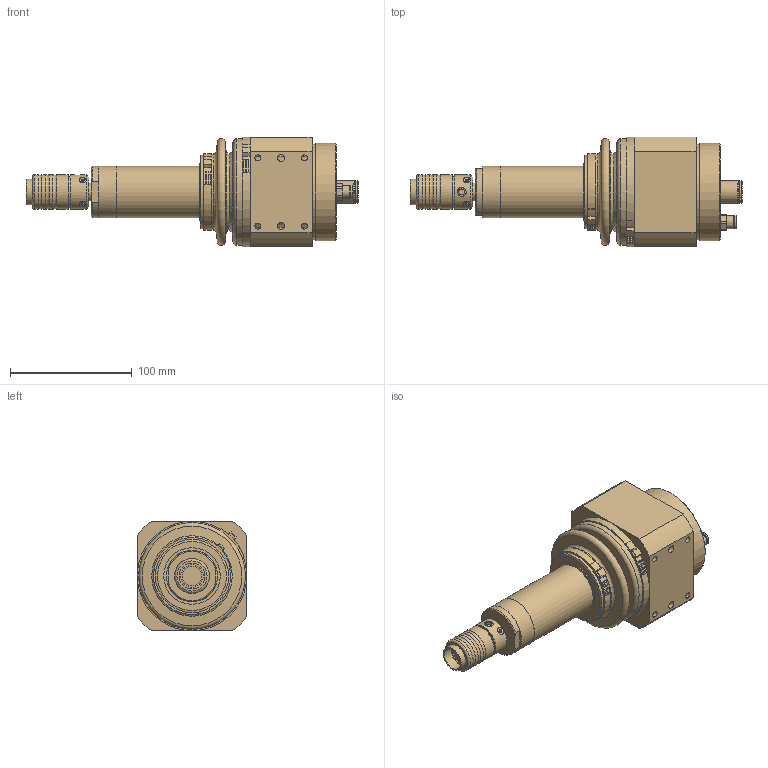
import math

import cadquery as cq


TIP_TO_SLEEVE = 5.3
SLEEVE_END = 51.3
COLLAR_START = 53.5
COLLAR_END = 59.3
SEAM = 74.2
LIP_START = 142.5
BAND_WIDTH = 6.5
SMALL_BAND_START = 145.8
SMALL_BAND_END = SMALL_BAND_START + BAND_WIDTH
LARGE_BAND_START = 177.5
BLOCK_START = LARGE_BAND_START + BAND_WIDTH
BLOCK_END = 234.7
DRUM_START = 237.8
DRUM_END = 254.4
OVERALL_LENGTH = 272.4

TIP_RADIUS = 10.5
BORE_RADIUS = 18.5 / 2
BORE_STEP_RADIUS = 8.0
SLEEVE_RADIUS = 28.4 / 2
SLEEVE_NECK_RADIUS = 24.7 / 2
STEM_RADIUS = 7.1
TUBE_RADIUS = 21.0
FRONT_SLEEVE_RADIUS = 21.05
SMALL_BAND_RADIUS = 31.6
LARGE_BAND_RADIUS = 44.9
DRUM_RADIUS = 40.0
DRUM_SPIGOT_RADIUS = 39.2

BORE_DEPTH = 8.0
BORE_STEP_DEPTH = 0.8
NOSE_FILLET = SLEEVE_RADIUS - SLEEVE_NECK_RADIUS
SLEEVE_CHAMFER = 2.0
GRIP_GROOVE_START = 10.1
GRIP_GROOVE_WIDTH = 3.0
GRIP_GROOVE_PITCH = 6.0
GRIP_GROOVE_DEPTH = 0.5
GRIP_GROOVE_COUNT = 3
SLEEVE_SPLIT_START = 34.5
SLEEVE_SPLIT_END = 36.4
TOP_SCREW_X = 42.5
TOP_SCREW_DIAMETER = 7.2
TOP_SOCKET_DIAMETER = 4.92
SIDE_SCREW_X = 46.6
SIDE_SCREW_DIAMETER = 6.0
SIDE_SOCKET_DIAMETER = 2.5
SCREW_SEAT_DEPTH = 0.8
SCREW_SOCKET_DEPTH = 2.5
SIDE_SCREW_ANGLES = (45, 135, 225, 315)

COLLAR_CHAMFER = 0.8
COLLAR_FLAT_WIDTH = 38.5

BELLOWS_RADIUS = 43.8
BELLOWS_ROOT_RADIUS = 31.2
CONVOLUTION_X = 160.2
CREST_HALF_WIDTH = 3.3
CREST_HEIGHT = 2.9
WALL_FOOT_HALF_WIDTH = 4.0
WALL_FOOT_RADIUS = 33.0
ROOT_START = 153.6
ROOT_FILLET = 2.8
SECOND_CREST_X = 173.1
LIP_RADIUS = 30.0
LIP_FACE_RADIUS = 28.3
LIP_BORE_RADIUS = 23.2
LIP_EDGE_LENGTH = 0.9

STRAP_THICKNESS = 0.6
STRAP_LEAD = 10.5
STRAP_TAIL = 18.8
EAR_ANGLE = 45
EAR_BASE = 8.4
EAR_TOP = 5.8
EAR_HEIGHT = 3.3
EAR_WALL = 0.8
EAR_SINK = 1.0
WINDOW_LENGTH = 1.6
WINDOW_WIDTH = 1.5
WINDOW_DEPTH = 0.5
WINDOW_COLUMN_OFFSET = 1.3
WINDOW_FIRST = 7.9
WINDOW_PITCH = 3.05
WINDOW_ROWS = 4

BLOCK_SIZE = 90.0
BLOCK_CORNER_RADIUS = 56.0
HOLE_PITCH_X = 19.1
HOLE_HALF_SPACING_Z = 28.0
END_HOLE_DIAMETER = 4.92
MIDDLE_HOLE_DIAMETER = 6.0
CORE_RADIUS = 28.9
DRUM_CHAMFER = 0.8

CONNECTOR_RADIUS = 9.4
KNOB_GROOVE_START = 268.9
KNOB_GROOVE_END = 269.7
KNOB_GROOVE_RADIUS = 18.5 / 2
KNURL_START = 270.2
KNURL_LENGTH = 1.6
KNURL_DEPTH = 0.3
KNURL_WIDTH = 0.8
KNURL_COUNT = 36
CONNECTOR_CHAMFER = 0.4

SIDE_CONNECTOR_Y = -24.9
NUT_ACROSS_FLATS = 13.2
NUT_EDGE_TRIM = 14.3
NUT_LENGTH = 5.1
HEX_SIDES = 6
HEX_HALF_STEP = 180 / HEX_SIDES
PLUG_RADIUS = 10.6 / 2
PLUG_GROOVE_RADIUS = 9.9 / 2
PLUG_END = 267.6
PLUG_GROOVE_START = 265.4
PLUG_GROOVE_WIDTH = 0.9


def cylinder(start, end, radius, y=0.0):
    """Solid cylinder parallel to X between two stations."""
    return cq.Workplane("YZ", origin=(start, y, 0)).circle(radius).extrude(end - start)


def ring(start, end, outer_radius, inner_radius, y=0.0):
    """Hollow cylinder parallel to X, used to cut grooves."""
    return cylinder(start, end, outer_radius, y).cut(cylinder(start, end, inner_radius, y))


def turned(outline):
    """Revolve a closed outline, drawn as (x, radius), about the X axis."""
    return outline.close().revolve(360, (0, 0, 0), (1, 0, 0))


def radial_cutter(x, angle, cutter_radius, surface_radius, depth):
    """Round cutter along a radius, reaching depth below the surface; 90 degrees points to +Z."""
    direction = cq.Vector(0, math.cos(math.radians(angle)), math.sin(math.radians(angle)))
    base = direction * (surface_radius - depth) + cq.Vector(x, 0, 0)
    return cq.Workplane(cq.Solid.makeCylinder(cutter_radius, 2 * depth, base, direction))


def nozzle():
    outline = (
        cq.Workplane("XY")
        .moveTo(0, 0)
        .lineTo(0, TIP_RADIUS)
        .lineTo(TIP_TO_SLEEVE, TIP_RADIUS)
        .lineTo(TIP_TO_SLEEVE, SLEEVE_NECK_RADIUS)
        .radiusArc(
            (TIP_TO_SLEEVE + NOSE_FILLET, SLEEVE_RADIUS),
            NOSE_FILLET,
        )
    )
    for index in range(GRIP_GROOVE_COUNT):
        start = GRIP_GROOVE_START + index * GRIP_GROOVE_PITCH
        outline = outline.lineTo(start, SLEEVE_RADIUS).threePointArc(
            (start + GRIP_GROOVE_WIDTH / 2, SLEEVE_RADIUS - GRIP_GROOVE_DEPTH),
            (start + GRIP_GROOVE_WIDTH, SLEEVE_RADIUS),
        )
    outline = (
        outline.lineTo(SLEEVE_SPLIT_START, SLEEVE_RADIUS)
        .lineTo(SLEEVE_SPLIT_START, SLEEVE_NECK_RADIUS)
        .lineTo(SLEEVE_SPLIT_END, SLEEVE_NECK_RADIUS)
        .lineTo(SLEEVE_SPLIT_END, SLEEVE_RADIUS)
        .lineTo(SLEEVE_END - SLEEVE_CHAMFER, SLEEVE_RADIUS)
        .lineTo(SLEEVE_END, SLEEVE_RADIUS - SLEEVE_CHAMFER)
        .lineTo(SLEEVE_END, STEM_RADIUS)
        .lineTo(COLLAR_START, STEM_RADIUS)
        .lineTo(COLLAR_START, 0)
    )
    body = turned(outline)
    body = body.cut(cylinder(0, BORE_DEPTH, BORE_RADIUS))
    body = body.cut(cylinder(0, BORE_DEPTH + BORE_STEP_DEPTH, BORE_STEP_RADIUS))
    body = cut_screw(body, TOP_SCREW_X, 90, TOP_SCREW_DIAMETER, TOP_SOCKET_DIAMETER)
    for angle in SIDE_SCREW_ANGLES:
        body = cut_screw(body, SIDE_SCREW_X, angle, SIDE_SCREW_DIAMETER, SIDE_SOCKET_DIAMETER)
    return body


def cut_screw(body, x, angle, seat_diameter, socket_diameter):
    """Screw seat with a narrower socket, sunk radially into the sleeve."""
    seat = radial_cutter(x, angle, seat_diameter / 2, SLEEVE_RADIUS, SCREW_SEAT_DEPTH)
    socket = radial_cutter(x, angle, socket_diameter / 2, SLEEVE_RADIUS, SCREW_SOCKET_DEPTH)
    return body.cut(seat).cut(socket)


def tube():
    collar = cylinder(COLLAR_START, COLLAR_END, TUBE_RADIUS).faces("<X").chamfer(COLLAR_CHAMFER)
    flats = cq.Workplane("XY").box(2 * COLLAR_END, COLLAR_FLAT_WIDTH, 2 * TUBE_RADIUS)
    front = cylinder(COLLAR_END, SEAM, FRONT_SLEEVE_RADIUS)
    rear = cylinder(SEAM, SMALL_BAND_START, TUBE_RADIUS)
    return collar.intersect(flats).union(front).union(rear)


def bellows():
    """Lip, clamped seat, one full convolution and the flank that meets the large band."""
    crest_radius = BELLOWS_RADIUS - CREST_HEIGHT
    lip_face_x = LIP_START + LIP_EDGE_LENGTH / 2
    outline = (
        cq.Workplane("XY")
        .moveTo(LIP_START, 0)
        .lineTo(LIP_START, LIP_BORE_RADIUS)
        .lineTo(lip_face_x, LIP_BORE_RADIUS)
        .lineTo(lip_face_x, LIP_FACE_RADIUS)
        .lineTo(LIP_START + LIP_EDGE_LENGTH, LIP_RADIUS)
        .lineTo(SMALL_BAND_START, LIP_RADIUS)
        .lineTo(SMALL_BAND_END, BELLOWS_ROOT_RADIUS)
        .lineTo(ROOT_START, BELLOWS_ROOT_RADIUS)
        .radiusArc((CONVOLUTION_X - WALL_FOOT_HALF_WIDTH, WALL_FOOT_RADIUS), -ROOT_FILLET)
        .lineTo(CONVOLUTION_X - CREST_HALF_WIDTH, crest_radius)
        .threePointArc(
            (CONVOLUTION_X, BELLOWS_RADIUS),
            (CONVOLUTION_X + CREST_HALF_WIDTH, crest_radius),
        )
        .lineTo(CONVOLUTION_X + WALL_FOOT_HALF_WIDTH, WALL_FOOT_RADIUS)
        .lineTo((CONVOLUTION_X + SECOND_CREST_X) / 2, BELLOWS_ROOT_RADIUS)
        .lineTo(SECOND_CREST_X - WALL_FOOT_HALF_WIDTH, WALL_FOOT_RADIUS)
        .lineTo(SECOND_CREST_X - CREST_HALF_WIDTH, crest_radius)
        .radiusArc((SECOND_CREST_X, BELLOWS_RADIUS), CREST_HALF_WIDTH)
        .lineTo(LARGE_BAND_START, BELLOWS_RADIUS)
        .lineTo(LARGE_BAND_START, 0)
    )
    return turned(outline)


def turn_about_axis(body, angle):
    """Turn a feature from +Z toward -Y by the given angle in degrees."""
    return body.rotate((0, 0, 0), (1, 0, 0), angle)


def strap(start, radius):
    """Overlapping band end: a thin arc from just before the ear to well past it."""
    lead = math.degrees(STRAP_LEAD / radius)
    tail = math.degrees(STRAP_TAIL / radius)
    section = cq.Workplane("XZ", origin=(start, 0, radius)).rect(
        BAND_WIDTH, 2 * STRAP_THICKNESS, centered=(False, True)
    )
    swept = section.revolve(lead + tail, (0, -radius, 0), (1, -radius, 0))
    return turn_about_axis(swept, EAR_ANGLE - lead)


def ear(start, radius):
    """Crimp ear of the band: a trapezoid loop that is open along X."""

    def loop(inset):
        base = radius - EAR_SINK
        top = radius + EAR_HEIGHT - inset
        return (
            cq.Workplane("YZ", origin=(start, 0, 0))
            .moveTo(-EAR_BASE / 2 + inset, base)
            .lineTo(-EAR_TOP / 2 + inset, top)
            .lineTo(EAR_TOP / 2 - inset, top)
            .lineTo(EAR_BASE / 2 - inset, base)
            .close()
            .extrude(BAND_WIDTH)
        )

    opened = loop(0).cut(loop(EAR_WALL))
    return turn_about_axis(opened, EAR_ANGLE)


def strap_windows(start, radius):
    """Two columns of shallow rectangular windows in the tail of the strap."""
    outer = radius + STRAP_THICKNESS
    middle = start + BAND_WIDTH / 2
    windows = []
    for row in range(WINDOW_ROWS):
        travel = WINDOW_FIRST + row * WINDOW_PITCH
        angle = EAR_ANGLE + math.degrees(travel / radius)
        for side in (-1, 1):
            window = cq.Workplane(
                "XY", origin=(middle + side * WINDOW_COLUMN_OFFSET, 0, outer)
            ).box(WINDOW_WIDTH, WINDOW_LENGTH, 2 * WINDOW_DEPTH)
            windows.append(turn_about_axis(window, angle))
    return windows


def band_clamp(start, radius):
    band = cylinder(start, start + BAND_WIDTH, radius)
    band = band.union(strap(start, radius)).union(ear(start, radius))
    for window in strap_windows(start, radius):
        band = band.cut(window)
    return band


def housing_block():
    length = BLOCK_END - BLOCK_START
    block = cq.Workplane("YZ", origin=(BLOCK_START, 0, 0)).rect(BLOCK_SIZE, BLOCK_SIZE).extrude(length)
    block = block.intersect(cylinder(BLOCK_START, BLOCK_END, BLOCK_CORNER_RADIUS))
    core = cylinder(BLOCK_START, BLOCK_END, CORE_RADIUS)
    middle_x = (BLOCK_START + BLOCK_END) / 2
    for column in (-1, 0, 1):
        diameter = END_HOLE_DIAMETER if column else MIDDLE_HOLE_DIAMETER
        x = middle_x + column * HOLE_PITCH_X
        holes = (
            cq.Workplane("XZ")
            .pushPoints([(x, -HOLE_HALF_SPACING_Z), (x, HOLE_HALF_SPACING_Z)])
            .circle(diameter / 2)
            .extrude(BLOCK_SIZE / 2)
        )
        block = block.cut(holes.cut(core))
    return block


def rear_drum():
    spigot = cylinder(BLOCK_END, DRUM_START, DRUM_SPIGOT_RADIUS)
    drum = cylinder(DRUM_START, DRUM_END, DRUM_RADIUS).faces(">X").chamfer(DRUM_CHAMFER)
    return spigot.union(drum)


def main_connector():
    body = cylinder(DRUM_END, OVERALL_LENGTH, CONNECTOR_RADIUS)
    body = body.faces(">X").chamfer(CONNECTOR_CHAMFER)
    knurl = (
        cq.Workplane("YZ", origin=(KNURL_START, 0, 0))
        .polarArray(CONNECTOR_RADIUS, 0, 360, KNURL_COUNT)
        .rect(2 * KNURL_DEPTH, KNURL_WIDTH)
        .extrude(KNURL_LENGTH)
    )
    groove = ring(KNOB_GROOVE_START, KNOB_GROOVE_END, 2 * CONNECTOR_RADIUS, KNOB_GROOVE_RADIUS)
    return body.cut(groove).cut(knurl)


def side_connector():
    """Hex nut with trimmed edges and a grooved round plug."""

    def hexagon(across_flats, turn):
        corner_diameter = across_flats / math.cos(math.radians(HEX_HALF_STEP))
        prism = cq.Workplane("YZ").polygon(HEX_SIDES, corner_diameter).extrude(NUT_LENGTH)
        return turn_about_axis(prism, turn)

    nut = hexagon(NUT_ACROSS_FLATS, HEX_HALF_STEP).intersect(hexagon(NUT_EDGE_TRIM, 0))
    nut = nut.translate((DRUM_END, SIDE_CONNECTOR_Y, 0))
    plug = cylinder(DRUM_END, PLUG_END, PLUG_RADIUS, SIDE_CONNECTOR_Y)
    groove_end = PLUG_GROOVE_START + PLUG_GROOVE_WIDTH
    groove = ring(PLUG_GROOVE_START, groove_end, 2 * PLUG_RADIUS, PLUG_GROOVE_RADIUS, SIDE_CONNECTOR_Y)
    return nut.union(plug.cut(groove))


result = (
    nozzle()
    .union(tube())
    .union(bellows())
    .union(band_clamp(SMALL_BAND_START, SMALL_BAND_RADIUS))
    .union(band_clamp(LARGE_BAND_START, LARGE_BAND_RADIUS))
    .union(housing_block())
    .union(rear_drum())
    .union(main_connector())
    .union(side_connector())
)